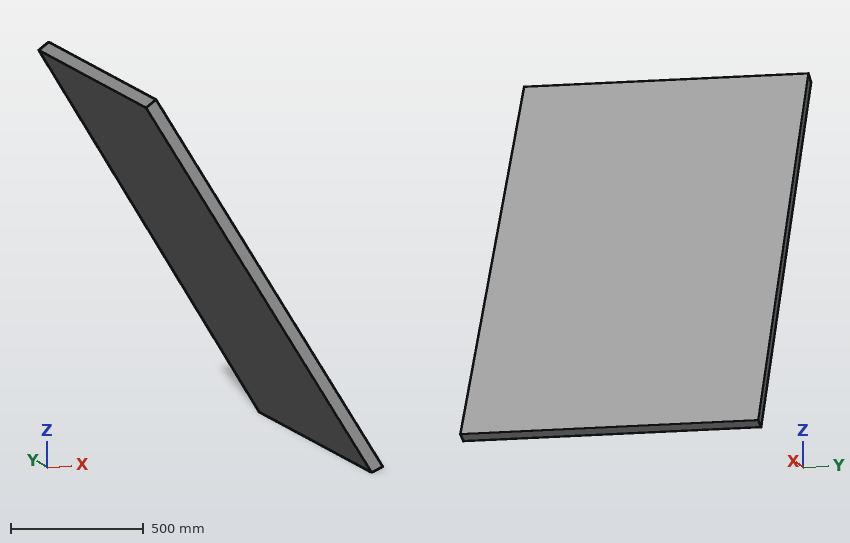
import cadquery as cq
import math

SPAN_X = 956.0
DEPTH_Y = 1160.0
HEIGHT_Z = 1503.0

UPPER_END_RUN = 40.0
UPPER_END_DROP = 29.0
LOWER_END_RUN = 45.0
LOWER_END_RISE = 20.0

BACK_TAPER = 51.0
FRONT_TAPER = 2.0

upper_outer = (UPPER_END_RUN, HEIGHT_Z)
upper_inner = (0, HEIGHT_Z - UPPER_END_DROP)
lower_inner = (SPAN_X - LOWER_END_RUN, 0)
lower_outer = (SPAN_X, LOWER_END_RISE)

slope_x = lower_inner[0] - upper_inner[0]
slope_z = lower_inner[1] - upper_inner[1]
slope_length = math.hypot(slope_x, slope_z)


def side_profile():
    """Panel thickness with its slanted ends, extruded over the full depth."""
    corners = [upper_outer, upper_inner, lower_inner, lower_outer]
    return cq.Workplane("XZ").polyline(corners).close().extrude(-DEPTH_Y)


def tapered_outline():
    """Four-sided panel outline, cut square to the sloping faces."""
    panel_plane = cq.Plane(
        origin=(upper_inner[0], 0, upper_inner[1]),
        xDir=(slope_x, 0, slope_z),
        normal=(-slope_z, 0, slope_x),
    )
    margin = UPPER_END_RUN + LOWER_END_RUN

    def edge_point(distance, lower_y, taper):
        return (distance, lower_y + taper * (1 - distance / slope_length))

    start = -margin
    end = slope_length + margin
    corners = [
        edge_point(start, 0, FRONT_TAPER),
        edge_point(end, 0, FRONT_TAPER),
        edge_point(end, DEPTH_Y, -BACK_TAPER),
        edge_point(start, DEPTH_Y, -BACK_TAPER),
    ]
    return cq.Workplane(panel_plane).polyline(corners).close().extrude(margin, both=True)


result = side_profile().intersect(tapered_outline())